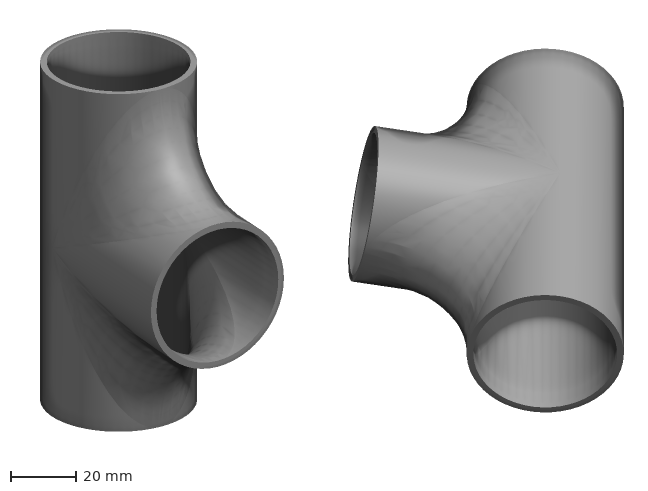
import cadquery as cq
import math

run_length = 114.0
outer_radius = 24.2
wall = 2.0
inner_radius = outer_radius - wall
reach = run_length / 2
blend_sections = 9


def half_ellipse(depth, angle, side_radius):
    """Half ellipse ending on the Y axis, its plane turned from +X by angle towards +Z."""
    direction = cq.Vector(math.cos(angle), 0, math.sin(angle))
    plane_normal = direction.cross(cq.Vector(0, 1, 0))
    return cq.Edge.makeEllipse(
        depth, side_radius, cq.Vector(), plane_normal, direction, -90, 90
    )


def crotch_wedge(radius):
    """Solid between run and branch, from the tee centre out to the blend surface."""
    blend_radius = reach - radius
    arcs = []
    for index in range(blend_sections):
        turn = math.pi + index * math.pi / 2 / (blend_sections - 1)
        x = reach + blend_radius * math.cos(turn)
        z = reach + blend_radius * math.sin(turn)
        arcs.append(half_ellipse(math.hypot(x, z), math.atan2(z, x), radius))

    blend_face = cq.occ_impl.shapes.loft(*arcs)
    diameter = cq.Edge.makeLine(cq.Vector(0, radius, 0), cq.Vector(0, -radius, 0))
    side_faces = []
    for arc in (arcs[0], arcs[-1]):
        side_faces.append(cq.Face.makeFromWires(cq.Wire.assembleEdges([arc, diameter])))
    shell = cq.Shell.makeShell(blend_face.Faces() + side_faces)
    return cq.Workplane(cq.Solid.makeSolid(shell).fix())


def tee_body(radius):
    """Solid tee of the given pipe radius with both crotches blended."""
    run = cq.Workplane("XY").circle(radius).extrude(reach, both=True)
    branch = cq.Workplane("YZ").circle(radius).extrude(reach)
    upper_wedge = crotch_wedge(radius)
    lower_wedge = upper_wedge.mirror("XY")
    return run.union(branch).union(upper_wedge).union(lower_wedge)


result = tee_body(outer_radius).cut(tee_body(inner_radius))